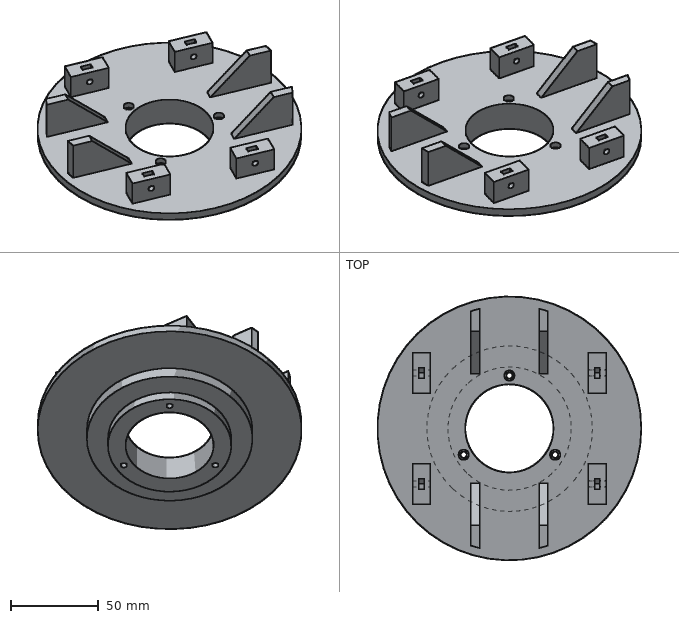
import cadquery as cq
import math

plate_diameter = 150
plate_thickness = 5.0
middle_step_diameter = 94.0
middle_step_height = 7.2
lower_step_diameter = 70.0
lower_step_height = 5.8
bore_diameter = 50.0
base_height = plate_thickness + middle_step_height + lower_step_height

screw_count = 3
screw_circle_radius = 30
screw_hole_diameter = 3.5
counterbore_diameter = 5.8
counterbore_depth = 3.5

gusset_thickness = 5.0
gusset_inner_x = 17.0
gusset_height = 24
gusset_crest_y = 55.0
gusset_toe_y = gusset_crest_y - gusset_height
gusset_outer_radius = 70.0

block_width = 10.0
block_length = 23.0
block_height = 15
block_center_x = 50.0
block_center_y = 31.5
bolt_hole_diameter = 3.5
bolt_hole_z = 8.0
nut_thickness = 3
nut_across_flats = 6
nut_corner_radius = nut_across_flats / math.sqrt(3)


def make_base():
    plate = cq.Workplane("XY").circle(plate_diameter / 2).extrude(-plate_thickness)
    middle_step = (
        cq.Workplane("XY")
        .circle(middle_step_diameter / 2)
        .extrude(-(plate_thickness + middle_step_height))
    )
    lower_step = cq.Workplane("XY").circle(lower_step_diameter / 2).extrude(-base_height)
    bore = cq.Workplane("XY").circle(bore_diameter / 2).extrude(-base_height)
    return plate.union(middle_step).union(lower_step).cut(bore)


def make_screw_holes():
    centers = cq.Workplane("XY").polarArray(screw_circle_radius, 90, 360, screw_count)
    holes = centers.circle(screw_hole_diameter / 2).extrude(-base_height)
    centers = cq.Workplane("XY").polarArray(screw_circle_radius, 90, 360, screw_count)
    counterbores = centers.circle(counterbore_diameter / 2).extrude(-counterbore_depth)
    return holes.union(counterbores)


def make_gusset():
    profile = [
        (gusset_toe_y, 0),
        (gusset_outer_radius, 0),
        (gusset_outer_radius, gusset_height),
        (gusset_crest_y, gusset_height),
    ]
    wedge = (
        cq.Workplane("YZ", origin=(gusset_inner_x, 0, 0))
        .polyline(profile)
        .close()
        .extrude(gusset_thickness)
    )
    envelope = cq.Workplane("XY").circle(gusset_outer_radius).extrude(gusset_height)
    return wedge.intersect(envelope)


def make_block():
    block = (
        cq.Workplane("XY")
        .center(block_center_x, block_center_y)
        .rect(block_width, block_length)
        .extrude(block_height)
    )
    bolt_axis = cq.Workplane("YZ", origin=(block_center_x, block_center_y, bolt_hole_z))
    bolt_hole = bolt_axis.circle(bolt_hole_diameter / 2).extrude(block_width / 2, both=True)

    half_flats = nut_across_flats / 2
    side_bottom = -nut_corner_radius / 2
    opening = block_height - bolt_hole_z
    trap_profile = [
        (-half_flats, opening),
        (-half_flats, side_bottom),
        (0, -nut_corner_radius),
        (half_flats, side_bottom),
        (half_flats, opening),
    ]
    nut_trap = bolt_axis.polyline(trap_profile).close().extrude(nut_thickness / 2, both=True)
    return block.cut(bolt_hole).cut(nut_trap)


result = make_base().cut(make_screw_holes())

for feature in (make_gusset(), make_block()):
    pair = feature.union(feature.mirror("YZ"))
    result = result.union(pair).union(pair.mirror("XZ"))